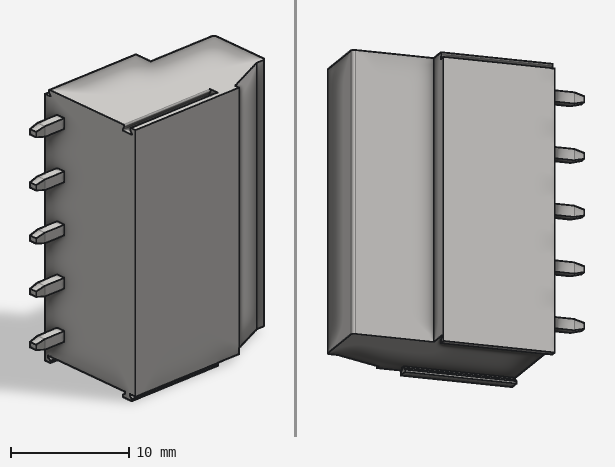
import cadquery as cq
import math

width = 11.2
total_height = 25.65
rail_height = 0.6
housing_height = total_height - rail_height
pin_length = 3.2
total_depth = 20.55
housing_depth = total_depth - pin_length

shoulder_x = 2.4
shoulder_y = 10.0
back_right_x = 8.75
slope_back_y = 16.35
slope_front_x = 10.72
ledge_y = 11.98
back_corner_radius = 0.28

joint_length = shoulder_y
edge_foot_x = 0.7
dovetail_center_x = 10.18
dovetail_foot_width = 1.13
rail_edge_neck_x = 0.38
rail_neck_width = 0.6
rail_neck_depth = 0.15
rail_foot_depth = 0.38
slot_edge_neck_x = 0.5
slot_neck_width = 0.72
slot_lip_radius = 0.13
slot_foot_radius = 0.05

pin_count = 5
pin_pitch = 5.0
lowest_pin_z = 2.55
pin_center_x = 1.98
pin_width = 0.9
pin_thickness = 1.0
tip_length = 0.95
tip_width = 0.77
tip_thickness = 0.51


def make_housing():
    """Housing block with its two back corners rounded."""
    outline = [
        (0, 0),
        (width, 0),
        (width, ledge_y),
        (slope_front_x, ledge_y),
        (back_right_x, slope_back_y),
        (back_right_x, housing_depth),
        (shoulder_x, housing_depth),
        (shoulder_x, shoulder_y),
        (0, shoulder_y),
    ]
    block = cq.Workplane("XY").polyline(outline).close().extrude(housing_height)
    return block.edges("|Z and >Y").fillet(back_corner_radius)


def rail_half(neck_x, foot_x):
    """Right half of a rail below z = 0: straight neck, slanted flank, straight foot."""
    return (
        cq.Workplane("XZ")
        .lineTo(neck_x, 0)
        .lineTo(neck_x, -rail_neck_depth)
        .lineTo(foot_x, -rail_foot_depth)
        .lineTo(foot_x, -rail_height)
        .lineTo(0, -rail_height)
        .close()
        .extrude(-joint_length)
    )


def slot_half(neck_x, foot_x):
    """Right half of a slot below z = 0: rounded lip, slanted flank, rounded undercut."""
    lip_center_x = neck_x + slot_lip_radius
    lip_center_z = -slot_lip_radius
    foot_center_x = foot_x - slot_foot_radius
    foot_center_z = -rail_height + slot_foot_radius

    run = foot_center_x - lip_center_x
    drop = lip_center_z - foot_center_z
    radius_sum = slot_lip_radius + slot_foot_radius
    angle = math.asin(radius_sum / math.hypot(run, drop)) + math.atan2(run, drop)
    flank_top = (
        lip_center_x - slot_lip_radius * math.cos(angle),
        lip_center_z - slot_lip_radius * math.sin(angle),
    )
    flank_end = (
        foot_center_x + slot_foot_radius * math.cos(angle),
        foot_center_z + slot_foot_radius * math.sin(angle),
    )
    return (
        cq.Workplane("XZ")
        .lineTo(lip_center_x, 0)
        .threePointArc((neck_x, lip_center_z), flank_top)
        .lineTo(*flank_end)
        .threePointArc((foot_x, foot_center_z), (foot_center_x, -rail_height))
        .lineTo(0, -rail_height)
        .close()
        .extrude(-joint_length)
    )


def make_joint(half_shape, top_z, edge_neck_x, neck_width):
    """Half dovetail on the left edge and full dovetail near the right side, hanging from top_z."""
    edge_half = half_shape(edge_neck_x, edge_foot_x)
    right_half = half_shape(neck_width / 2, dovetail_foot_width / 2)
    dovetail = right_half.union(right_half.mirror("YZ"))
    return edge_half.union(dovetail.translate((dovetail_center_x, 0, 0))).translate((0, 0, top_z))


def make_pin(center_z):
    """Rectangular pin pointing toward -Y with a tapered tip."""
    shank_length = pin_length - tip_length
    root = cq.Workplane("XZ").center(pin_center_x, center_z)
    shank = root.rect(pin_width, pin_thickness).extrude(shank_length)
    tip = (
        root.workplane(offset=shank_length)
        .rect(pin_width, pin_thickness)
        .workplane(offset=tip_length)
        .rect(tip_width, tip_thickness)
        .loft(ruled=True)
    )
    return shank.union(tip)


slots = make_joint(slot_half, housing_height, slot_edge_neck_x, slot_neck_width)
rails = make_joint(rail_half, 0, rail_edge_neck_x, rail_neck_width)

result = make_housing().cut(slots).union(rails)
for index in range(pin_count):
    result = result.union(make_pin(lowest_pin_z + index * pin_pitch))